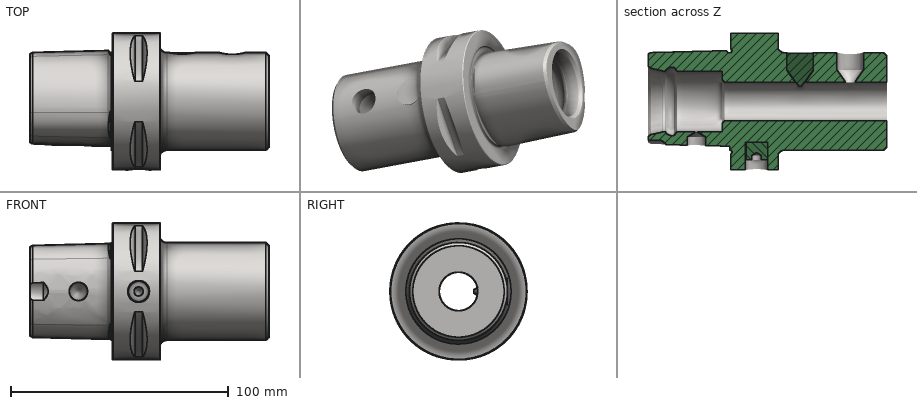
import cadquery as cq
import math

shank_length = 38.0
flange_length = 22.0
flange_radius = 31.5
flange_chamfer = 0.3
nose_end = 72.0
nose_radius = 22.5
nose_chamfer = 1.5

gauge_radius = 22.05
eccentricity = 1.4
taper_per_length = 1 / 40
lobe_count = 3
taper_end = -2.1
lobe_clearance = 0.1
tip_chamfer_length = 1.4
tip_chamfer_drop = 0.8
tight_half_angle = 27.7
stretch_steps = 8

neck_radius = 22.5
neck_length = 0.5
undercut_radius = 24.05
undercut_mid_radius = 23.3
undercut_depth = 0.6

rear_blend_radius = 3.5
rear_blend_length = 3.0

mouth_radius = 16.2
mouth_chamfer_length = 1.5
entry_radius = 15.1
entry_end = 6.5
entry_end_radius = 14.0
lip_radius = 13.75
lip_start = 7.0
lip_end = 8.0
groove_radius = 15.5
groove_mid = 9.6
groove_mid_radius = 15.3
groove_end = 12.1
chamber_start = 13.4
chamber_radius = lip_radius
chamber_end = 34.0
through_radius = 8.8
through_chamfer = 1.3

slot_count = 4
slot_x = 12.0
slot_floor_distance = 27.85
slot_floor_width = 3.3
slot_mouth_width = 7.8
slot_corner_chamfer = 0.3

plug_radius = 5.0
plug_recess = 4.6
plug_length = 8.0
plug_chamfer = 0.3
plug_drill_radius = 2.1
plug_drill_depth = 2.0

side_hole_x = -15.65
side_hole_radius = 4.2
side_hole_floor = 16.4
key_hole_radius = 5.9
key_hole_y = -23.85
key_hole_depth = 6.3
key_hole_cone_half_angle = 43.0
drill_cone_half_angle = 59.0

screw_x = 32.0
clamp_hole_positions = (screw_x, 55.0)
screw_radius = 6.0
screw_head_distance = 22.3
screw_tip_distance = 6.9
screw_tip_radius = 0.65
screw_cone_half_angle = 35.0


def polygon_point(x, radius, angle):
    """Point of the three-lobed outline whose outward normal stands at the given angle from +Y."""
    support = radius + eccentricity * math.cos(lobe_count * angle)
    slope = -lobe_count * eccentricity * math.sin(lobe_count * angle)
    y = support * math.cos(angle) - slope * math.sin(angle)
    z = support * math.sin(angle) + slope * math.cos(angle)
    return cq.Vector(x, y, z)


def polygon_wire(x, radius):
    """Closed three-lobed outline in the plane at x: a tight and a flat stretch per lobe."""
    tight_half = math.radians(tight_half_angle)
    lobe_pitch = 2 * math.pi / lobe_count
    stretches = []
    for lobe in range(lobe_count):
        centre = lobe * lobe_pitch
        stretches.append((centre - tight_half, centre + tight_half))
        stretches.append((centre + tight_half, centre + lobe_pitch - tight_half))
    edges = []
    for start, end in stretches:
        step_angle = (end - start) / stretch_steps
        angles = [start + step_angle * step for step in range(stretch_steps + 1)]
        points = [polygon_point(x, radius, angle) for angle in angles]
        tangents = [cq.Vector(0, -math.sin(angle), math.cos(angle)) for angle in (start, end)]
        edges.append(cq.Edge.makeSpline(points, tangents))
    return cq.Wire.assembleEdges(edges)


def polygon_section(x_start, radius_start, x_end, radius_end):
    """Solid between two three-lobed outlines."""
    wires = [polygon_wire(x_start, radius_start), polygon_wire(x_end, radius_end)]
    return cq.Workplane(cq.Solid.makeLoft(wires, True))


def taper_radius(x):
    return gauge_radius + taper_per_length * (x - taper_end)


def revolve_about_x(outline):
    return outline.close().revolve(360, (0, 0, 0), (1, 0, 0))


def pointed_drill(base, direction, radius, length, cone_half_angle):
    """Cylinder from base along direction, ended by a cone."""
    cone_length = radius / math.tan(math.radians(cone_half_angle))
    start = cq.Vector(*base)
    axis = cq.Vector(*direction)
    barrel = cq.Solid.makeCylinder(radius, length, start, axis)
    point = cq.Solid.makeCone(radius, 0, cone_length, start + axis * length, axis)
    return cq.Workplane(barrel.fuse(point))


def make_shank():
    tip_x = -shank_length
    taper_start = tip_x + tip_chamfer_length
    tip = polygon_section(tip_x, taper_radius(taper_start) - tip_chamfer_drop,
                          taper_start, taper_radius(taper_start))
    taper = polygon_section(taper_start, taper_radius(taper_start), taper_end, gauge_radius)
    neck = polygon_section(taper_end, gauge_radius, -neck_length / 2, gauge_radius)
    lobe_reach = gauge_radius + eccentricity + lobe_clearance
    neck_limit = revolve_about_x(
        cq.Workplane("XY")
        .moveTo(taper_end, 0)
        .lineTo(taper_end, lobe_reach)
        .lineTo(taper_end + lobe_reach - neck_radius, neck_radius)
        .lineTo(-neck_length / 2, neck_radius)
        .lineTo(-neck_length / 2, 0)
    )
    return tip.union(taper).union(neck.intersect(neck_limit))


def make_flange_and_nose():
    blend_height = rear_blend_radius - math.sqrt(rear_blend_radius**2 - rear_blend_length**2)
    blend_end = flange_length + rear_blend_length
    half_turn = math.asin(rear_blend_length / rear_blend_radius) / 2
    blend_mid = (blend_end - rear_blend_radius * math.sin(half_turn),
                 nose_radius + rear_blend_radius * (1 - math.cos(half_turn)))
    return revolve_about_x(
        cq.Workplane("XY")
        .moveTo(-neck_length, 0)
        .lineTo(-neck_length, neck_radius)
        .threePointArc((undercut_depth, undercut_mid_radius), (0, undercut_radius))
        .lineTo(0, flange_radius - flange_chamfer)
        .lineTo(flange_chamfer, flange_radius)
        .lineTo(flange_length - flange_chamfer, flange_radius)
        .lineTo(flange_length, flange_radius - flange_chamfer)
        .lineTo(flange_length, nose_radius + blend_height)
        .threePointArc(blend_mid, (blend_end, nose_radius))
        .lineTo(nose_end - nose_chamfer, nose_radius)
        .lineTo(nose_end, nose_radius - nose_chamfer)
        .lineTo(nose_end, 0)
    )


def make_bore():
    """Stepped bore; depths in the profile are counted from the shank's front face."""
    return revolve_about_x(
        cq.Workplane("XY", origin=(-shank_length, 0, 0))
        .moveTo(0, 0)
        .lineTo(0, mouth_radius)
        .lineTo(mouth_chamfer_length, entry_radius)
        .lineTo(entry_end, entry_end_radius)
        .lineTo(lip_start, lip_radius)
        .lineTo(lip_end, lip_radius)
        .threePointArc((groove_mid, groove_mid_radius), (groove_end, groove_radius))
        .lineTo(chamber_start, chamber_radius)
        .lineTo(chamber_end, chamber_radius)
        .lineTo(chamber_end, through_radius + through_chamfer)
        .lineTo(chamber_end + through_chamfer, through_radius)
        .lineTo(shank_length + nose_end, through_radius)
        .lineTo(shank_length + nose_end, 0)
    )


def make_gripper_slots():
    half_floor = slot_floor_width / 2
    half_mouth = slot_mouth_width / 2
    half_corner = half_floor + slot_corner_chamfer
    corner_distance = slot_floor_distance + slot_corner_chamfer
    slot = (
        cq.Workplane("XY", origin=(slot_x, 0, 0))
        .moveTo(-half_floor, slot_floor_distance)
        .lineTo(-half_corner, corner_distance)
        .lineTo(-half_mouth, flange_radius)
        .lineTo(half_mouth, flange_radius)
        .lineTo(half_corner, corner_distance)
        .lineTo(half_floor, slot_floor_distance)
        .close()
        .extrude(flange_radius, both=True)
    )
    pitch = 360 / slot_count
    slots = cq.Workplane("XY")
    for index in range(slot_count):
        angle = pitch * (index + 0.5)
        slots = slots.union(slot.rotate((0, 0, 0), (1, 0, 0), angle))
    return slots


def make_plug_hole():
    depth = plug_recess + plug_length
    mouth = cq.Vector(slot_x, -flange_radius, 0)
    inward = cq.Vector(0, 1, 0)
    return cq.Workplane(cq.Solid.makeCylinder(plug_radius, depth, mouth, inward))


def make_plug():
    """Round plug along Y, chamfered and drilled at its outer end."""
    outer_y = plug_recess - flange_radius
    inner_y = outer_y + plug_length
    plug = (
        cq.Workplane("XY", origin=(slot_x, 0, 0))
        .moveTo(0, outer_y)
        .lineTo(plug_radius - plug_chamfer, outer_y)
        .lineTo(plug_radius, outer_y + plug_chamfer)
        .lineTo(plug_radius, inner_y)
        .lineTo(0, inner_y)
        .close()
        .revolve(360, (0, 0, 0), (0, 1, 0))
    )
    drill = pointed_drill((slot_x, outer_y, 0), (0, 1, 0), plug_drill_radius, plug_drill_depth,
                          drill_cone_half_angle)
    return plug.cut(drill)


def make_clamp_profile(x, outer_distance):
    """Round body along +Y with a blunt cone at its inner end, reaching into the through bore."""
    cone_length = (screw_radius - screw_tip_radius) / math.tan(math.radians(screw_cone_half_angle))
    return (
        cq.Workplane("XY", origin=(x, 0, 0))
        .moveTo(0, screw_tip_distance)
        .lineTo(screw_tip_radius, screw_tip_distance)
        .lineTo(screw_radius, screw_tip_distance + cone_length)
        .lineTo(screw_radius, outer_distance)
        .lineTo(0, outer_distance)
        .close()
        .revolve(360, (0, 0, 0), (0, 1, 0))
    )


def make_side_hole():
    depth = gauge_radius - side_hole_floor
    return pointed_drill((side_hole_x, -gauge_radius, 0), (0, 1, 0), side_hole_radius, depth,
                         drill_cone_half_angle)


def make_key_hole():
    return pointed_drill((-shank_length, key_hole_y, 0), (1, 0, 0), key_hole_radius, key_hole_depth,
                         key_hole_cone_half_angle)


def make_holder():
    holder = make_shank().union(make_flange_and_nose())
    cutters = [make_bore(), make_gripper_slots(), make_plug_hole(), make_side_hole(), make_key_hole()]
    for x in clamp_hole_positions:
        cutters.append(make_clamp_profile(x, flange_radius))
    for cutter in cutters:
        holder = holder.cut(cutter)
    return holder


def make_screw():
    return make_clamp_profile(screw_x, screw_head_distance)


holder = make_holder()
plug = make_plug()
screw = make_screw()
result = cq.Compound.makeCompound([holder.val(), plug.val(), screw.val()])